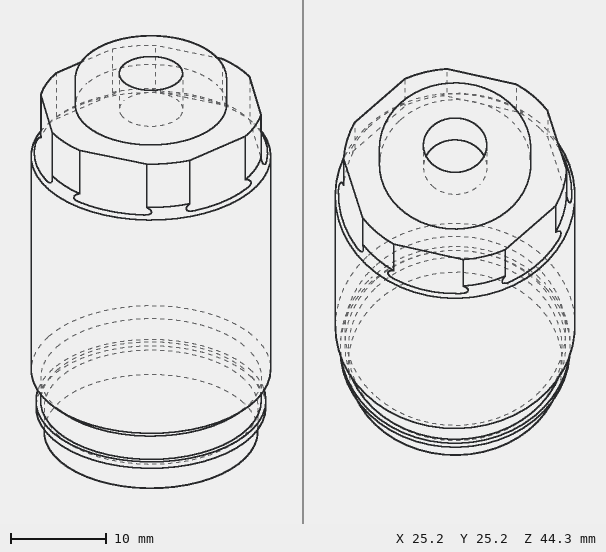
import cadquery as cq

total_height = 44.3
ring_bottom = 3.0
ring_top = 3.8
neck_top = 6.7
body_bottom = 7.65
body_top = 34.1
flat_floor = 34.5
collar_bottom = 35.1
collar_top = 40.45

spigot_radius = 11.2
ring_radius = 12.05
neck_radius = 11.55
body_diameter = 25.15
body_radius = body_diameter / 2
collar_radius = 11.7
boss_radius = 7.95
boss_edge_fillet = 0.7

flat_count = 6
across_flats = 22.15
flat_root_fillet = collar_bottom - flat_floor

bore_radius = 3.32
bore_depth = 4.45


def turned_body():
    """Revolve the stepped outline about the Z axis."""
    return (
        cq.Workplane("XZ")
        .moveTo(0, 0)
        .lineTo(spigot_radius, 0)
        .lineTo(spigot_radius, ring_bottom)
        .lineTo(ring_radius, ring_bottom)
        .lineTo(ring_radius, ring_top)
        .lineTo(neck_radius, ring_top)
        .lineTo(neck_radius, neck_top)
        .lineTo(body_radius, body_bottom)
        .lineTo(body_radius, body_top)
        .lineTo(collar_radius, collar_bottom)
        .lineTo(collar_radius, collar_top)
        .lineTo(boss_radius, collar_top)
        .lineTo(boss_radius, total_height - boss_edge_fillet)
        .radiusArc((boss_radius - boss_edge_fillet, total_height), -boss_edge_fillet)
        .lineTo(0, total_height)
        .close()
        .revolve(360, (0, 0, 0), (0, 1, 0))
    )


def flat_cutter():
    """Cutter for the flat on the +Y side, rounded where the flat meets its floor."""
    flat_distance = across_flats / 2
    return (
        cq.Workplane("YZ")
        .moveTo(flat_distance, collar_top)
        .lineTo(flat_distance, flat_floor + flat_root_fillet)
        .radiusArc((flat_distance + flat_root_fillet, flat_floor), -flat_root_fillet)
        .lineTo(body_radius, flat_floor)
        .lineTo(body_radius, collar_top)
        .close()
        .extrude(body_radius, both=True)
    )


result = turned_body()

for index in range(flat_count):
    angle = index * 360 / flat_count
    result = result.cut(flat_cutter().rotate((0, 0, 0), (0, 0, 1), angle))

bore = (
    cq.Workplane("XY")
    .workplane(offset=total_height - bore_depth)
    .circle(bore_radius)
    .extrude(bore_depth)
)
result = result.cut(bore)